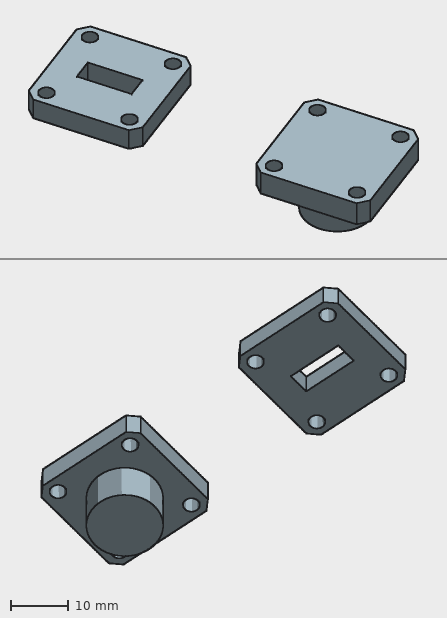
import cadquery as cq

total_length = 67.0
flange_side = 22.4
corner_chamfer = 1.8
hole_diameter = 2.95
hole_spacing_x = 16.3
hole_spacing_y = 17.0

waveguide_thickness = 4.3
window_length = 10.7
window_width = 4.3

cover_thickness = 4.8
total_height = 12.7
boss_diameter = 13.5
boss_height = total_height - cover_thickness

flange_offset = (total_length - flange_side) / 2


def flange_plate(center_x, thickness):
    """Square plate below Z = 0 with chamfered corners and four bolt holes."""
    return (
        cq.Workplane("XY", origin=(center_x, 0, -thickness))
        .rect(flange_side, flange_side)
        .extrude(thickness)
        .edges("|Z")
        .chamfer(corner_chamfer)
        .faces(">Z")
        .workplane(origin=(center_x, 0, 0))
        .rect(hole_spacing_x, hole_spacing_y, forConstruction=True)
        .vertices()
        .hole(hole_diameter)
    )


def make_waveguide_flange():
    """Plate with a rectangular window through its center."""
    window = (
        cq.Workplane("XY", origin=(-flange_offset, 0, -waveguide_thickness))
        .rect(window_length, window_width)
        .extrude(waveguide_thickness)
    )
    return flange_plate(-flange_offset, waveguide_thickness).cut(window)


def make_cover_flange():
    """Plate with a solid round boss on its lower face."""
    boss = (
        cq.Workplane("XY", origin=(flange_offset, 0, -total_height))
        .circle(boss_diameter / 2)
        .extrude(boss_height)
    )
    return flange_plate(flange_offset, cover_thickness).union(boss)


waveguide_flange = make_waveguide_flange()
cover_flange = make_cover_flange()

result = cq.Compound.makeCompound([waveguide_flange.val(), cover_flange.val()])